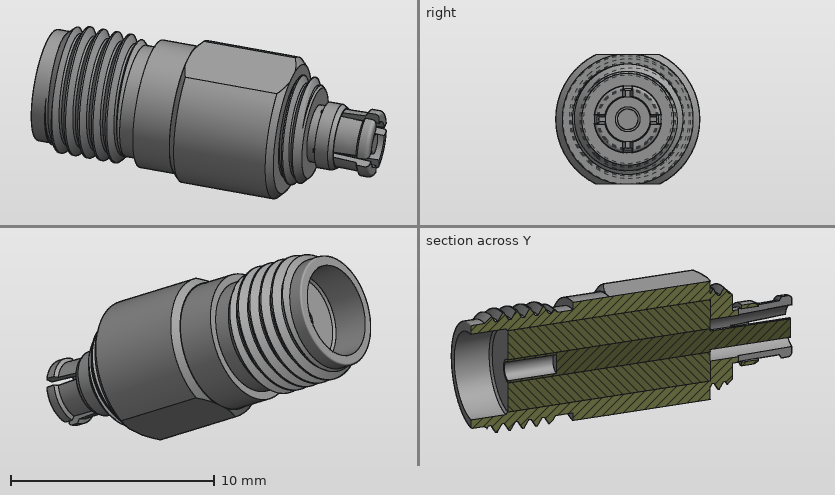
import cadquery as cq
import math


LENGTH = 17.0
FRONT_THREAD_START = 0.71
FRONT_THREAD_END = 4.57
SHOULDER_X = 5.37
WRENCH_START = 7.26
WRENCH_END = 12.61
REAR_THREAD_END = 13.79
COLLAR_START = 14.25
COLLAR_END = 15.16
BEAD_NECK_X = 16.32
BEAD_START = 16.44
CONTACT_END = 16.85

SOCKET_RADIUS = 2.79
SHOULDER_RADIUS = 3.2
WRENCH_RADIUS = 3.55
REAR_ROOT_RADIUS = 2.36
BARREL_RADIUS = 1.43
BARREL_FLARE = 0.042
COLLAR_RADIUS = 1.65
BEAD_RADIUS = 1.67

RIM_FILLET = 0.08
WRENCH_CHAMFER = 0.32
REAR_CHAMFER = 0.1
COLLAR_CHAMFER_LENGTH = 0.24
COLLAR_CHAMFER_DROP = 0.14
BEAD_FILLET = 0.2

FLATS_ACROSS = 2 * SHOULDER_RADIUS

SOCKET_BORE_RADIUS = 2.3
SOCKET_BORE_DEPTH = 1.84
INSULATOR_RADIUS = 2.18
INSULATOR_START = SOCKET_BORE_DEPTH + SOCKET_BORE_RADIUS - INSULATOR_RADIUS
BARREL_BORE_RADIUS = 1.1

SLOT_COUNT = 4
SLOT_START = 14.11
SLOT_ROOT_WIDTH = 0.2
SLOT_TIP_WIDTH = 0.5

CONTACT_RADIUS = 0.61
CONTACT_HOLE_RADIUS = 0.5
CONTACT_HOLE_DEPTH = 2.55
CONTACT_TIP_RADIUS = 0.51

THREAD_ROOT_EMBED = 0.08
ENVELOPE_SCALE = 1.5
FRONT_PITCH = 2.82 / 4
FRONT_PHASE = 1.53
FRONT_THREAD_HEIGHT = SHOULDER_RADIUS - SOCKET_RADIUS
FRONT_BASE_WIDTH = 0.58
FRONT_CREST_WIDTH = 0.08
FRONT_RUN_OUT = 0.46
REAR_PITCH = 0.6
REAR_PHASE = 13.21
REAR_THREAD_HEIGHT = 0.35
REAR_BASE_WIDTH = 0.5
REAR_CREST_WIDTH = 0.07


def turned(points):
    """Solid turned about the X axis from an (x, radius) outline."""
    return cq.Workplane("XY").polyline(points).close().revolve(360, (0, 0, 0), (1, 0, 0))


def rod(start, end, radius):
    """Cylinder along the X axis."""
    return cq.Workplane("YZ", origin=(start, 0, 0)).circle(radius).extrude(end - start)


def thread_ridge(start, end, phase, pitch, root_radius, height, base_width, crest_width):
    """Helical ridge that covers start to end, with extra turns at both ends for trimming."""
    first_crest = phase - pitch * math.ceil((phase - start) / pitch + 1)
    turns = math.ceil((end - first_crest) / pitch + 1)
    plane = cq.Plane(origin=(first_crest, 0, 0), xDir=(0, 1, 0), normal=(1, 0, 0))
    helix = cq.Wire.makeHelix(pitch, turns * pitch, root_radius).moved(plane.location)
    flank_slope = (base_width - crest_width) / 2 / height
    half_foot = base_width / 2 + THREAD_ROOT_EMBED * flank_slope
    foot_radius = root_radius - THREAD_ROOT_EMBED
    crest_radius = root_radius + height
    section = [
        (first_crest - half_foot, foot_radius),
        (first_crest - crest_width / 2, crest_radius),
        (first_crest + crest_width / 2, crest_radius),
        (first_crest + half_foot, foot_radius),
    ]
    return cq.Workplane("XY").polyline(section).close().sweep(cq.Workplane(helix), isFrenet=True)


def front_thread():
    """Socket thread, running out on a cone at each end."""
    ridge = thread_ridge(
        FRONT_THREAD_START, FRONT_THREAD_END, FRONT_PHASE, FRONT_PITCH,
        SOCKET_RADIUS, FRONT_THREAD_HEIGHT, FRONT_BASE_WIDTH, FRONT_CREST_WIDTH,
    )
    run_out = FRONT_RUN_OUT * ENVELOPE_SCALE
    envelope_radius = SOCKET_RADIUS + FRONT_THREAD_HEIGHT * ENVELOPE_SCALE
    envelope = turned([
        (FRONT_THREAD_START, 0),
        (FRONT_THREAD_START, SOCKET_RADIUS),
        (FRONT_THREAD_START + run_out, envelope_radius),
        (FRONT_THREAD_END - run_out, envelope_radius),
        (FRONT_THREAD_END, SOCKET_RADIUS),
        (FRONT_THREAD_END, 0),
    ])
    return ridge.intersect(envelope)


def threaded_socket():
    """Socket sleeve with its thread and the plain shoulder behind it."""
    sleeve = rod(0, SHOULDER_X, SOCKET_RADIUS).faces("<X").edges().fillet(RIM_FILLET)
    shoulder = rod(SHOULDER_X, WRENCH_START, SHOULDER_RADIUS)
    return sleeve.union(front_thread()).union(shoulder)


def wrench_body():
    """Round body with chamfered ends and two wrench flats facing up and down."""
    length = WRENCH_END - WRENCH_START
    body = rod(WRENCH_START, WRENCH_END, WRENCH_RADIUS).edges().chamfer(WRENCH_CHAMFER)
    flats = cq.Workplane("XY").box(length, 2 * WRENCH_RADIUS, FLATS_ACROSS)
    return body.intersect(flats.translate((WRENCH_START + length / 2, 0, 0)))


def rear_stub():
    """Short threaded stub behind the wrench body, cut back by a 45 degree cone at its free end."""
    root = rod(WRENCH_END, REAR_THREAD_END, REAR_ROOT_RADIUS)
    ridge = thread_ridge(
        WRENCH_END, REAR_THREAD_END, REAR_PHASE, REAR_PITCH,
        REAR_ROOT_RADIUS, REAR_THREAD_HEIGHT, REAR_BASE_WIDTH, REAR_CREST_WIDTH,
    )
    trim_height = REAR_THREAD_HEIGHT * ENVELOPE_SCALE
    trim_radius = REAR_ROOT_RADIUS + trim_height
    thread = ridge.intersect(rod(WRENCH_END, REAR_THREAD_END, trim_radius))
    end_cone = turned([
        (REAR_THREAD_END - REAR_CHAMFER - trim_height, trim_radius),
        (REAR_THREAD_END, REAR_ROOT_RADIUS - REAR_CHAMFER),
        (REAR_THREAD_END, trim_radius),
    ])
    return root.union(thread).cut(end_cone)


def slotted_barrel():
    """Flared barrel with a snap bead, split into spring fingers."""
    barrel = turned([
        (REAR_THREAD_END, BARREL_BORE_RADIUS),
        (REAR_THREAD_END, BARREL_RADIUS),
        (COLLAR_START, BARREL_RADIUS),
        (BEAD_NECK_X, BARREL_RADIUS + BARREL_FLARE),
        (BEAD_START, BEAD_RADIUS),
        (LENGTH, BEAD_RADIUS),
        (LENGTH, BARREL_BORE_RADIUS + BARREL_FLARE),
        (COLLAR_START, BARREL_BORE_RADIUS),
    ])
    barrel = barrel.faces(">X").edges(cq.selectors.RadiusNthSelector(-1)).fillet(BEAD_FILLET)
    slot = (
        cq.Workplane("XY")
        .polyline([
            (SLOT_START, -SLOT_ROOT_WIDTH / 2),
            (LENGTH, -SLOT_TIP_WIDTH / 2),
            (LENGTH, SLOT_TIP_WIDTH / 2),
            (SLOT_START, SLOT_ROOT_WIDTH / 2),
        ])
        .close()
        .extrude(2 * BEAD_RADIUS)
    )
    for index in range(SLOT_COUNT):
        barrel = barrel.cut(slot.rotate((0, 0, 0), (1, 0, 0), index * 360 / SLOT_COUNT))
    return barrel


def collar():
    """Ring round the roots of the fingers, bridging the slots."""
    return turned([
        (COLLAR_START, BARREL_RADIUS),
        (COLLAR_START, COLLAR_RADIUS),
        (COLLAR_END - COLLAR_CHAMFER_LENGTH, COLLAR_RADIUS),
        (COLLAR_END, COLLAR_RADIUS - COLLAR_CHAMFER_DROP),
        (COLLAR_END, BARREL_RADIUS),
    ])


def make_housing():
    """Outer conductor: socket, wrench body, rear stub, barrel and collar in one piece."""
    core = threaded_socket().union(wrench_body()).union(rear_stub())
    bore = turned([
        (0, 0),
        (0, SOCKET_BORE_RADIUS),
        (SOCKET_BORE_DEPTH, SOCKET_BORE_RADIUS),
        (INSULATOR_START, INSULATOR_RADIUS),
        (WRENCH_END, INSULATOR_RADIUS),
        (WRENCH_END, BARREL_BORE_RADIUS),
        (REAR_THREAD_END, BARREL_BORE_RADIUS),
        (REAR_THREAD_END, 0),
    ])
    return core.cut(bore).union(slotted_barrel()).union(collar())


def make_insulator():
    """Plain bush that carries the contact; its front face is the socket floor."""
    bush = rod(INSULATOR_START, WRENCH_END, INSULATOR_RADIUS)
    return bush.cut(rod(INSULATOR_START, WRENCH_END, CONTACT_RADIUS))


def make_contact():
    """Centre contact with a blind hole in its front end and a slimmer pin in the barrel."""
    body = rod(INSULATOR_START, WRENCH_END, CONTACT_RADIUS)
    pin = rod(WRENCH_END, CONTACT_END, CONTACT_TIP_RADIUS)
    hole = rod(INSULATOR_START, INSULATOR_START + CONTACT_HOLE_DEPTH, CONTACT_HOLE_RADIUS)
    return body.union(pin).cut(hole)


housing = make_housing()
insulator = make_insulator()
contact = make_contact()

result = cq.Compound.makeCompound([housing.val(), insulator.val(), contact.val()])